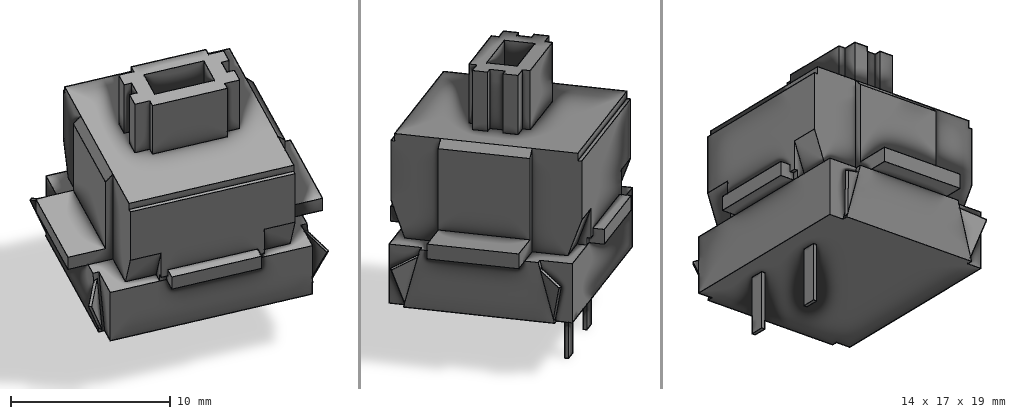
import cadquery as cq
import math


base_x = 12.0
base_y = 13.5
base_height = 4.0
cheek_thickness = 0.4
cheek_bottom_half = 4.95
cheek_slope = math.radians(15)

barb_bend = math.radians(35)
barb_thickness = 0.2
barb_hinge_inset = 0.15
barb_hinge_start = 0.1
barb_hinge_end = 3.7
barb_tip_along = 2.55
barb_reach = 1.65

cap_height = 7.0
cap_x = 12.0
cap_y = 11.0
panel_x = 12.5
panel_margin = 0.5
centre_x = 6.0
centre_y = 12.0
centre_chamfer = 0.5
flange_height = 1.0
end_flange_y = 17.0
side_flange_x = 14.0
side_flange_y = 6.0
relief_length = 2.05
relief_height = 2.5
relief_depth = relief_height * math.tan(math.radians(20))

stem_height = 4.0
stem_x = 4.0
stem_y = 5.0
pocket_x = 2.0
pocket_y = 4.0
rail_width = 1.0
rail_spacing = 2.0
rail_end_y = 7.0
web_x = 1.0
web_y = 6.0

pin_length = 4.0
pin_width = 1.0
pin_thickness = 0.25
pin_spacing = 5.0
pin_pair_x = -4.4

cap_bottom = base_height
stem_bottom = cap_bottom + cap_height
SIDES = (-1, 1)


def block(size_x, size_y, bottom, height):
    """Box centred on the Z axis, standing on the given level."""
    return cq.Workplane("XY").workplane(offset=bottom).rect(size_x, size_y).extrude(height)


def make_cheeks():
    """Both tapered plates as one piece running through the base block."""
    top_half = cheek_bottom_half - base_height * math.tan(cheek_slope)
    length = base_y + 2 * cheek_thickness
    outline = [
        (-cheek_bottom_half, 0),
        (cheek_bottom_half, 0),
        (top_half, base_height),
        (-top_half, base_height),
    ]
    return cq.Workplane("XZ").polyline(outline).close().extrude(length / 2, both=True)


def make_barb():
    """Barb at the -X, +Y corner, drawn in its bent plane."""
    away = cq.Vector(-math.cos(cheek_slope), 0, math.sin(cheek_slope))
    outward = cq.Vector(0, 1, 0)
    reach_direction = away * math.cos(barb_bend) + outward * math.sin(barb_bend)
    normal = outward * math.cos(barb_bend) - away * math.sin(barb_bend)
    hinge_foot = cq.Vector(-cheek_bottom_half, base_y / 2 + barb_hinge_inset, 0)
    bent_plane = cq.Plane(origin=hinge_foot, xDir=reach_direction, normal=normal)
    outline = [(0, barb_hinge_start), (barb_reach, barb_tip_along), (0, barb_hinge_end)]
    return cq.Workplane(bent_plane).polyline(outline).close().extrude(barb_thickness)


def make_base():
    base = block(base_x, base_y, 0, base_height).union(make_cheeks())
    left_back = make_barb()
    right_back = left_back.mirror("YZ")
    for barb in (left_back, right_back):
        base = base.union(barb).union(barb.mirror("XZ"))
    return base


def make_relief(side_x, side_y):
    """Wedge that slopes inward toward the bottom of a cap corner."""
    face_x = side_x * panel_x / 2
    outline = [
        (face_x, cap_bottom),
        (face_x, cap_bottom + relief_height),
        (face_x - side_x * relief_depth, cap_bottom),
    ]
    middle_y = side_y * (cap_y - relief_length) / 2
    wedge = cq.Workplane("XZ").polyline(outline).close().extrude(relief_length / 2, both=True)
    return wedge.translate((0, middle_y, 0))


def make_cap():
    panel_height = cap_height - 2 * panel_margin
    cap = block(cap_x, cap_y, cap_bottom, cap_height)
    cap = cap.union(block(panel_x, cap_y, cap_bottom + panel_margin, panel_height))
    for side_x in SIDES:
        for side_y in SIDES:
            cap = cap.cut(make_relief(side_x, side_y))
    centre = block(centre_x, centre_y, cap_bottom, cap_height)
    centre = centre.faces(">Z").edges("|X").chamfer(centre_chamfer)
    cap = cap.union(centre)
    cap = cap.union(block(centre_x, end_flange_y, cap_bottom, flange_height))
    return cap.union(block(side_flange_x, side_flange_y, cap_bottom, flange_height))


def make_stem():
    """Hollow post with four guide rails, standing on the cap."""
    stem = block(stem_x, stem_y, stem_bottom, stem_height)
    stem = stem.union(block(web_x, web_y, stem_bottom, stem_height))
    for side_x in SIDES:
        rail_pair = block(rail_width, rail_end_y, stem_bottom, stem_height)
        stem = stem.union(rail_pair.translate((side_x * rail_spacing / 2, 0, 0)))
    return stem.cut(block(pocket_x, pocket_y, stem_bottom, stem_height))


def make_pin(side_y):
    """Flat contact pin under the base; the -Y pin is staggered toward +X."""
    pin = block(pin_thickness, pin_width, -pin_length, pin_length)
    pin_x = pin_pair_x - side_y * pin_thickness / 2
    return pin.translate((pin_x, side_y * pin_spacing / 2, 0))


base = make_base()
cap = make_cap()
stem = make_stem()
pins = [make_pin(side_y) for side_y in SIDES]

bodies = [base.val(), cap.val(), stem.val()] + [pin.val() for pin in pins]
result = cq.Compound.makeCompound(bodies)